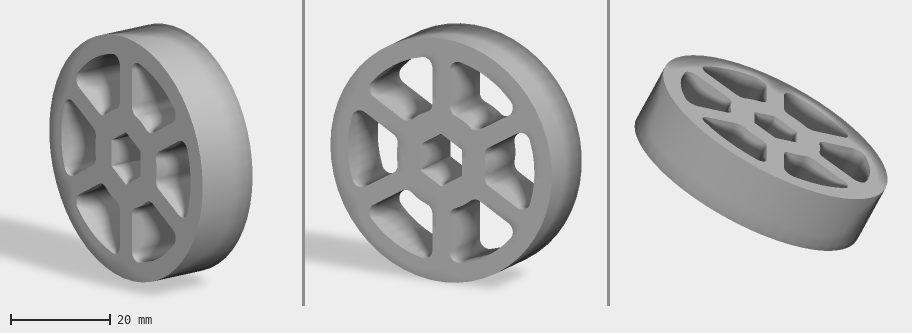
import math

import cadquery as cq

wheel_diameter = 50.8
wheel_width = 12.7
rim_thickness = 4.0
hub_diameter = 20.32
spoke_count = 6
spoke_thickness = 4.0
window_corner_radius = 2.0
hex_side_count = 6
hex_across_flats = 9.525

wheel_radius = wheel_diameter / 2
rim_inner_radius = wheel_radius - rim_thickness
hub_radius = hub_diameter / 2
spoke_pitch = 360 / spoke_count
hex_half_side_angle = 180 / hex_side_count
hex_across_corners = hex_across_flats / math.cos(math.radians(hex_half_side_angle))


def cylinder(radius):
    """Cylinder of the wheel's width, standing on Z and centred on the origin."""
    return cq.Workplane("XY", origin=(0, 0, -wheel_width / 2)).circle(radius).extrude(wheel_width)


def spoke(angle):
    """Straight bar from the centre out to the rim, at an angle from +X."""
    bar = cq.Workplane("XY").box(
        wheel_radius, spoke_thickness, wheel_width, centered=(False, True, True)
    )
    return bar.rotate((0, 0, 0), (0, 0, 1), angle)


def window_cutter():
    """Windows between the spokes: the hub-to-rim ring less the spokes, corners rounded."""
    windows = cylinder(rim_inner_radius).cut(cylinder(hub_radius))
    for index in range(spoke_count):
        windows = windows.cut(spoke((index + 0.5) * spoke_pitch))
    return windows.edges("|Z").fillet(window_corner_radius)


def hex_bore_cutter():
    """Hexagonal shaft bore with two corners on the wheel's vertical diameter."""
    end_plane = cq.Workplane("XY", origin=(0, 0, -wheel_width / 2))
    bore = end_plane.polygon(hex_side_count, hex_across_corners).extrude(wheel_width)
    return bore.rotate((0, 0, 0), (0, 0, 1), hex_half_side_angle)


wheel = cylinder(wheel_radius).cut(window_cutter()).cut(hex_bore_cutter())

result = wheel.rotate((0, 0, 0), (1, 0, 0), 90)